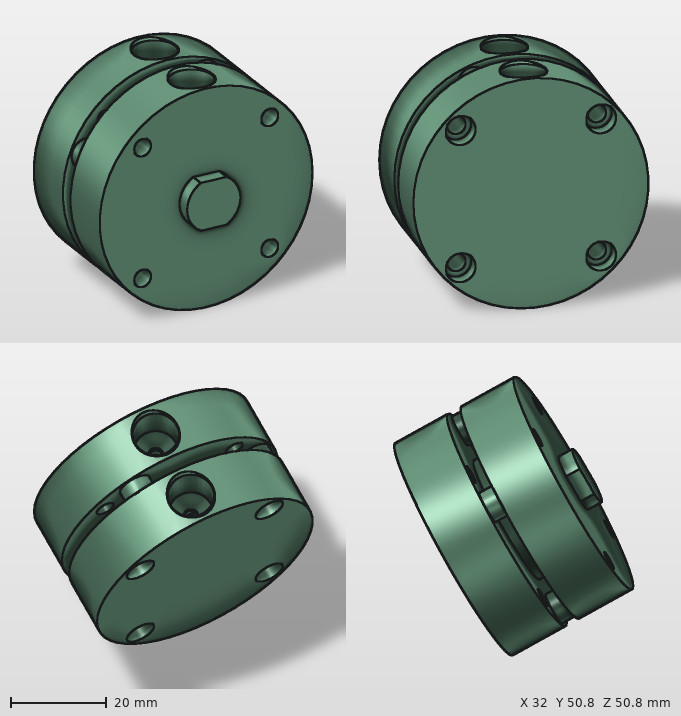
import cadquery as cq
import math

head_diameter = 50.8
head_thickness = 12.7
head_gap = 3.3
second_head_x = head_thickness + head_gap
stack_length = second_head_x + head_thickness

bolt_circle_diameter = 42.9
fastener_count = 4
bolt_hole_angle = 45
spacer_angle = 67.5
bolt_hole_diameter = 4.0
counterbore_diameter = 6.4
counterbore_depth = 3.7
spacer_diameter = 7.0

cell_diameter = 28.5
cell_recess_depth = 5.55
cell_start_x = head_thickness - cell_recess_depth
cell_length = head_gap + 2 * cell_recess_depth

boss_diameter = 12.7
boss_across_flats = 11.1
boss_length = 3.3

port_mouth_diameter = 10.9
port_bore_diameter = 9.7
port_bore_length = 8.0
port_taper = 1 / 16
feed_diameter = 3.1
feed_overrun = 0.4
drill_point_angle = 118


def cylinder_along_x(diameter, start_x, length):
    return cq.Workplane("YZ", origin=(start_x, 0, 0)).circle(diameter / 2).extrude(length)


def ring_of_cylinders(diameter, start_x, length, first_angle):
    return (
        cq.Workplane("YZ", origin=(start_x, 0, 0))
        .polarArray(bolt_circle_diameter / 2, first_angle, 360, fastener_count)
        .circle(diameter / 2)
        .extrude(length)
    )


def make_port(center_x):
    """Solid of revolution about a vertical axis that hollows out one port."""
    mouth_radius = port_mouth_diameter / 2
    bore_top_radius = port_bore_diameter / 2
    bore_bottom_radius = bore_top_radius - port_bore_length * port_taper / 2
    feed_radius = feed_diameter / 2
    point_slope = 1 / math.tan(math.radians(drill_point_angle / 2))

    mouth_z = head_diameter / 2
    bore_top_z = mouth_z - (mouth_radius - bore_top_radius)
    bore_bottom_z = bore_top_z - port_bore_length
    feed_top_z = bore_bottom_z - (bore_bottom_radius - feed_radius) * point_slope
    feed_bottom_z = cell_diameter / 2 - feed_overrun
    feed_tip_z = feed_bottom_z - feed_radius * point_slope

    return (
        cq.Workplane("XZ", origin=(center_x, 0, 0))
        .moveTo(0, mouth_z)
        .lineTo(mouth_radius, mouth_z)
        .lineTo(bore_top_radius, bore_top_z)
        .lineTo(bore_bottom_radius, bore_bottom_z)
        .lineTo(feed_radius, feed_top_z)
        .lineTo(feed_radius, feed_bottom_z)
        .lineTo(0, feed_tip_z)
        .close()
        .revolve(360, (0, 0, 0), (0, 1, 0))
    )


def make_boss():
    return (
        cq.Workplane("YZ", origin=(stack_length, 0, 0))
        .rect(boss_diameter, boss_across_flats)
        .extrude(boss_length)
        .intersect(cylinder_along_x(boss_diameter, stack_length, boss_length))
    )


def make_cell():
    return cylinder_along_x(cell_diameter, cell_start_x, cell_length)


def make_head(start_x):
    """Disc with its port, bolt holes and the recess for the cell."""
    return (
        cylinder_along_x(head_diameter, start_x, head_thickness)
        .cut(make_port(start_x + head_thickness / 2))
        .cut(ring_of_cylinders(bolt_hole_diameter, start_x, head_thickness, bolt_hole_angle))
        .cut(make_cell())
    )


def make_first_head():
    counterbores = ring_of_cylinders(counterbore_diameter, 0, counterbore_depth, bolt_hole_angle)
    return make_head(0).cut(counterbores)


def make_second_head():
    return make_head(second_head_x).union(make_boss())


def make_spacers():
    return ring_of_cylinders(spacer_diameter, head_thickness, head_gap, spacer_angle)


first_head = make_first_head()
second_head = make_second_head()
cell = make_cell()
spacers = make_spacers()

result = cq.Compound.makeCompound([first_head.val(), second_head.val(), cell.val(), *spacers.vals()])